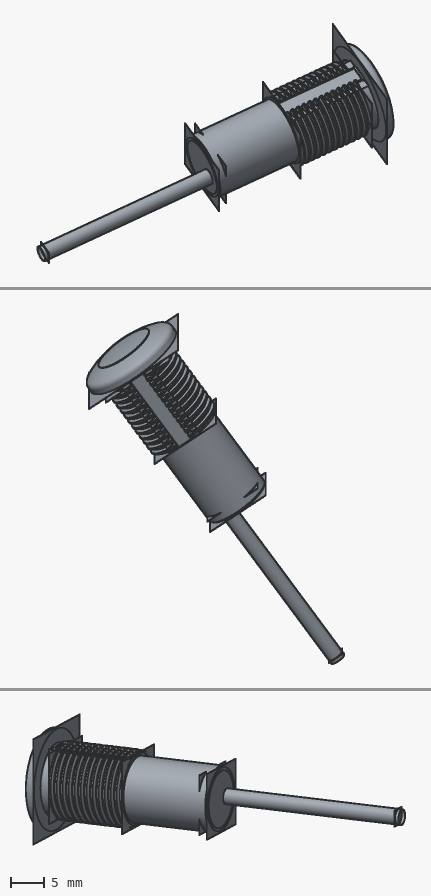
import cadquery as cq
import math


overall_length = 59.48
plate_thickness = 0.04

head_height = 2.85
head_radius = 7.85
lens_radius = 4.66
lens_sag = 0.22
lens_step = 0.1
shoulder_radius = 7.3
shoulder_sag = 1.2
shoulder_mid = (6.1, 0.67)
rim_mid = (7.72, 1.55)
rim_height = 0.7
seat_plate_width = 16.38
seat_plate_height = 16.39

neck_length = 1.4
neck_fillet = 0.35
thread_end_depth = 13.6
thread_root_radius = 5.48
thread_crest_radius = 6.02
thread_pitch = 1.0
thread_base_width = 0.94
thread_crest_width = 0.3
thread_embed = 0.1
thread_start_depth = 1.25
thread_end_chamfer = 0.5
keyway_width = 2.3
keyway_floor = 5.34
key_plate_width = 5.5
neck_plate_left = -5.6
neck_plate_right = 6.08
neck_plate_height = 11.0
thread_plate_size = 11.32

body_radius = 5.13
body_end_depth = 27.5
body_end_chamfer = 0.3
body_end_plate_size = 10.24
potting_radius = 4.41
potting_recess_depth = 0.05
socket_depth = 1.5
inner_plate_depth = body_end_depth - socket_depth
inner_plate_size = 9.3

cable_x = 2.0
cable_radius = 1.22
cable_end_depth = overall_length - head_height
cable_bore_radius = 1.12
cable_bore_depth = 0.6
cable_plate_size = 2.5


def cylinder_along_y(radius, depth_from, depth_to, x=0):
    """Cylinder along Y between two depths."""
    return (
        cq.Workplane("XZ", origin=(0, -depth_from, 0))
        .center(x, 0)
        .circle(radius)
        .extrude(depth_to - depth_from)
    )


def cross_plate(width, height, depth, x=0):
    """Thin rectangular plate square to the Y axis, starting at a depth."""
    return (
        cq.Workplane("XZ", origin=(0, -depth, 0))
        .center(x, 0)
        .rect(width, height)
        .extrude(plate_thickness)
    )


def make_head():
    """Domed head: shallow lens on a small step, sloping shoulder and rounded rim."""
    lens_mid = (lens_radius / 2, head_height - lens_sag / 4)
    return (
        cq.Workplane("XY")
        .moveTo(0, 0)
        .lineTo(0, head_height)
        .threePointArc(lens_mid, (lens_radius, head_height - lens_sag))
        .lineTo(lens_radius, head_height - lens_sag - lens_step)
        .threePointArc(
            (shoulder_mid[0], head_height - shoulder_mid[1]),
            (shoulder_radius, head_height - shoulder_sag),
        )
        .threePointArc((rim_mid[0], head_height - rim_mid[1]), (head_radius, rim_height))
        .lineTo(head_radius, 0)
        .close()
        .revolve(360, (0, 0, 0), (0, 1, 0))
    )


def make_thread_ridge():
    """Right-handed helical ridge, trimmed to the threaded length with a chamfered end."""
    ridge_length = thread_end_depth - thread_start_depth
    helix = cq.Wire.makeHelix(thread_pitch, ridge_length, thread_root_radius)
    ridge_base_radius = thread_root_radius - thread_embed
    ridge = (
        cq.Workplane("XZ")
        .polyline(
            [
                (ridge_base_radius, -thread_base_width / 2),
                (thread_crest_radius, -thread_crest_width / 2),
                (thread_crest_radius, thread_crest_width / 2),
                (ridge_base_radius, thread_base_width / 2),
            ]
        )
        .close()
        .sweep(cq.Workplane(obj=helix), isFrenet=True)
        .rotate((0, 0, 0), (1, 0, 0), 90)
        .translate((0, -thread_start_depth, 0))
    )
    envelope = (
        cylinder_along_y(thread_crest_radius + thread_embed, neck_length, thread_end_depth)
        .faces("<Y")
        .chamfer(thread_end_chamfer)
    )
    return ridge.intersect(envelope)


def make_keyway(side):
    """Cutter for the keyway on the top (side = 1) or the bottom (side = -1)."""
    cutter_height = 2 * (thread_crest_radius - keyway_floor)
    cutter_length = thread_end_depth - neck_fillet
    return cq.Workplane("XY").box(keyway_width, cutter_length, cutter_height).translate(
        (0, cutter_length / 2 - thread_end_depth, side * (keyway_floor + cutter_height / 2))
    )


def make_key_plate(side):
    """Thin strip level with a keyway floor, from the seat to the end of the thread."""
    return cq.Workplane("XY").box(key_plate_width, thread_end_depth, plate_thickness).translate(
        (0, -thread_end_depth / 2, side * (keyway_floor - plate_thickness / 2))
    )


def make_core():
    """Thread core and neck, flared by a concave fillet where it meets the head."""
    flare_radius = thread_root_radius + neck_fillet
    fillet_reach = neck_fillet * (1 - math.sqrt(0.5))
    return (
        cq.Workplane("XY")
        .moveTo(0, 0)
        .lineTo(flare_radius, 0)
        .threePointArc(
            (thread_root_radius + fillet_reach, -fillet_reach),
            (thread_root_radius, -neck_fillet),
        )
        .lineTo(thread_root_radius, -thread_end_depth)
        .lineTo(0, -thread_end_depth)
        .close()
        .revolve(360, (0, 0, 0), (0, 1, 0))
    )


def make_barrel():
    """Neck, neck plate and thread with both keyways cut."""
    neck_plate_width = neck_plate_right - neck_plate_left
    neck_plate_x = (neck_plate_right + neck_plate_left) / 2
    neck_plate = cross_plate(neck_plate_width, neck_plate_height, neck_length, neck_plate_x)
    barrel = make_core().union(make_thread_ridge()).union(neck_plate)
    for side in (1, -1):
        barrel = barrel.cut(make_keyway(side)).union(make_key_plate(side))
    return barrel


def make_body():
    """Plain cylinder behind the thread with a chamfered end."""
    return (
        cylinder_along_y(body_radius, thread_end_depth, body_end_depth)
        .faces("<Y")
        .chamfer(body_end_chamfer)
    )


def make_housing():
    """Head, barrel and plain body with their thin plates, and the socket for the cable."""
    plates = [
        cross_plate(seat_plate_width, seat_plate_height, 0),
        cross_plate(thread_plate_size, thread_plate_size, thread_end_depth),
        cross_plate(inner_plate_size, inner_plate_size, inner_plate_depth),
        cross_plate(body_end_plate_size, body_end_plate_size, body_end_depth - plate_thickness),
    ]
    housing = make_head().union(make_barrel()).union(make_body())
    for plate in plates:
        housing = housing.union(plate)
    potting_recess = cylinder_along_y(
        potting_radius, body_end_depth - potting_recess_depth, body_end_depth
    )
    cable_socket = cylinder_along_y(
        cable_radius, body_end_depth - socket_depth, body_end_depth, cable_x
    )
    return housing.cut(potting_recess).cut(cable_socket)


def make_cable():
    """Round cable set in the housing, with a hollow end and a thin square plate at the bore floor."""
    bore_floor_depth = cable_end_depth - cable_bore_depth
    cable = cylinder_along_y(
        cable_radius, body_end_depth - socket_depth, cable_end_depth, cable_x
    )
    bore = cylinder_along_y(cable_bore_radius, bore_floor_depth, cable_end_depth, cable_x)
    plate = cross_plate(
        cable_plate_size, cable_plate_size, bore_floor_depth - plate_thickness, cable_x
    )
    return cable.cut(bore).union(plate)


housing = make_housing()
cable = make_cable()

result = cq.Compound.makeCompound([housing.val(), cable.val()])